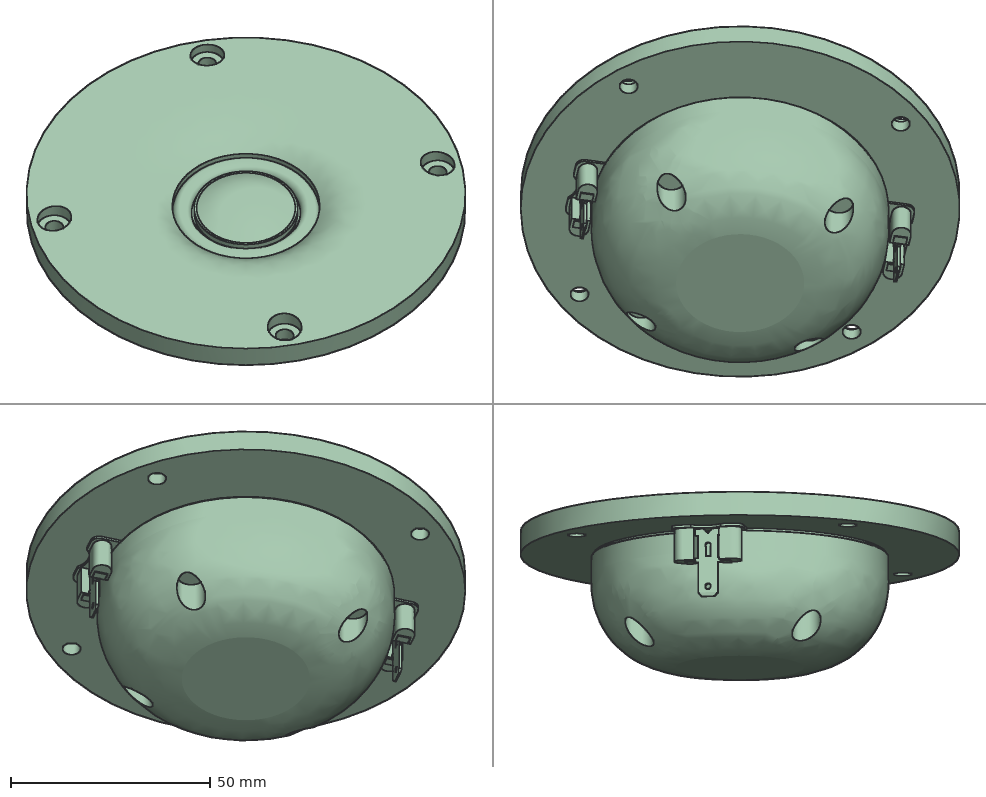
import cadquery as cq
import math

plate_radius = 55.0
rim_height = 5.9
crown_radius = 38.1
crown_height = 8.0
total_height = 36.7

throat_radius = 18.5
throat_height = 1.3
horn_flat_radius = 34.1
horn_bend_radius = 24.8

roll_radius = 2.4
roll_crest_radius = throat_radius - roll_radius
roll_base_height = throat_height - roll_radius

collar_radius = 13.0
dome_radius = 24.8 / 2
dome_base_height = 0.7
dome_rise = 3.7

screw_offset = 34.6
screw_diameter = 4.5
counterbore_diameter = 8.5
counterbore_floor = 3.5

housing_radius = 74.5 / 2
neck_radius = 36.7
neck_height = 0.7
wall_bottom = -5.8
bowl_bottom = crown_height - total_height
bowl_flat_radius = 16.1
bowl_middle = (31.0, -22.7)

bowl_hole_diameter = 7.2
bowl_hole_offset = 21.3
bowl_hole_top = -17.6

terminal_offset = 39.9
block_length = 17.2
block_width = 4.8
block_bottom = -8.8
slot_width = 6.4
pad_outer = 43.1
pad_inner = 35.9
pad_length = 18.2
pad_corner_radius = 2.2
pad_notch_width = 7.6
pad_notch_depth = 1.6
foot_offset = 4.6
foot_length = 2.1
foot_width = 3.3
foot_height = 0.3

blade_thickness = 0.8
tab_width = 5.1
shoulder_bottom = -9.1
blade_bottom = -17.8
tip_length = 1.0
tip_chamfer = 0.9
tip_thickness = 0.3
blade_hole_diameter = 1.4
tip_hole_height = -15.3
eye_height = -4.8
eye_slot_width = 1.2
eye_slot_bottom = -7.6
side_notch_top = -2.3
side_notch_bottom = -8.0
vee_half_width = 1.1
vee_bottom = -1.8


def revolved_body():
    """Faceplate, horn, surround, dome and rear housing as one turned profile."""
    roll_quarter = roll_radius * math.sqrt(0.5)
    roll_inner_radius = roll_crest_radius - roll_radius
    dome_sphere_radius = (dome_radius**2 + dome_rise**2) / (2 * dome_rise)
    dome_top = dome_base_height + dome_rise
    dome_middle_radius = dome_radius / 2
    dome_middle_drop = dome_sphere_radius - math.sqrt(dome_sphere_radius**2 - dome_middle_radius**2)
    horn_control_points = [
        (crown_radius, crown_height),
        (horn_flat_radius, crown_height),
        (horn_bend_radius, crown_height),
        (throat_radius, throat_height),
    ]
    profile = (
        cq.Workplane("XZ")
        .moveTo(0, bowl_bottom)
        .lineTo(bowl_flat_radius, bowl_bottom)
        .threePointArc(bowl_middle, (housing_radius, wall_bottom))
        .lineTo(housing_radius, -neck_height)
        .lineTo(neck_radius, -neck_height)
        .lineTo(neck_radius, 0)
        .lineTo(plate_radius, 0)
        .lineTo(plate_radius, rim_height)
        .lineTo(crown_radius, crown_height)
        .bezier(horn_control_points)
        .lineTo(throat_radius, roll_base_height)
        .threePointArc(
            (roll_crest_radius + roll_quarter, roll_base_height + roll_quarter),
            (roll_crest_radius, throat_height),
        )
        .threePointArc(
            (roll_crest_radius - roll_quarter, roll_base_height + roll_quarter),
            (roll_inner_radius, roll_base_height),
        )
        .lineTo(collar_radius, roll_base_height)
        .lineTo(collar_radius, dome_base_height)
        .lineTo(dome_radius, dome_base_height)
        .threePointArc((dome_middle_radius, dome_top - dome_middle_drop), (0, dome_top))
        .close()
    )
    return profile.revolve(360, (0, 0), (0, 1))


def corner_cylinders(offset, diameter, bottom, top):
    """Four vertical cylinders on the corners of a centered square."""
    return (
        cq.Workplane("XY", origin=(0, 0, bottom))
        .rect(2 * offset, 2 * offset, forConstruction=True)
        .vertices()
        .circle(diameter / 2)
        .extrude(top - bottom)
    )


def mirrored_outline(plane, half_outline):
    """Closed outline from its positive half, mirrored across the vertical axis."""
    other_half = [(-across, height) for across, height in reversed(half_outline)]
    return plane.polyline(half_outline + other_half).close()


def blade():
    """Flat connector blade at the +X terminal, standing parallel to the YZ plane."""
    half_slot = slot_width / 2
    half_tab = tab_width / 2
    tip_start = blade_bottom + tip_length
    front_plane = cq.Workplane("YZ", origin=(terminal_offset, 0, 0))
    edge_plane = cq.Workplane("XZ", origin=(terminal_offset, 0, 0))
    front_outline = [
        (half_slot, 0),
        (half_slot, side_notch_top),
        (half_tab, side_notch_top),
        (half_tab, side_notch_bottom),
        (half_slot, side_notch_bottom),
        (half_slot, shoulder_bottom),
        (half_tab, shoulder_bottom),
        (half_tab, tip_start),
        (half_tab - tip_chamfer, blade_bottom),
    ]
    edge_outline = [
        (blade_thickness / 2, 0),
        (blade_thickness / 2, tip_start),
        (tip_thickness / 2, blade_bottom),
    ]
    body = mirrored_outline(front_plane, front_outline).extrude(blade_thickness, both=True)
    body = body.intersect(mirrored_outline(edge_plane, edge_outline).extrude(slot_width, both=True))
    holes = (
        front_plane.pushPoints([(0, eye_height), (0, tip_hole_height)])
        .circle(blade_hole_diameter / 2)
        .extrude(blade_thickness, both=True)
    )
    eye_slot = (
        front_plane.center(0, (eye_height + eye_slot_bottom) / 2)
        .rect(eye_slot_width, eye_height - eye_slot_bottom)
        .extrude(blade_thickness, both=True)
    )
    vee_outline = [(-vee_half_width, -neck_height), (vee_half_width, -neck_height), (0, vee_bottom)]
    vee = front_plane.polyline(vee_outline).close().extrude(blade_thickness, both=True)
    return body.cut(holes).cut(eye_slot).cut(vee)


def pad():
    """Thin pad under the faceplate with rounded outer corners and a scooped outer edge."""
    notch_radius = ((pad_notch_width / 2) ** 2 + pad_notch_depth**2) / (2 * pad_notch_depth)
    notch_center = pad_outer - pad_notch_depth + notch_radius
    notch = cq.Workplane("XY").center(notch_center, 0).circle(notch_radius).extrude(-neck_height)
    return (
        cq.Workplane("XY")
        .center((pad_outer + pad_inner) / 2, 0)
        .rect(pad_outer - pad_inner, pad_length)
        .extrude(-neck_height)
        .edges("|Z and >X")
        .fillet(pad_corner_radius)
        .cut(notch)
    )


def terminal():
    """Slotted terminal block at +X, with its pad and the blade in the slot."""
    base = cq.Workplane("XY", origin=(terminal_offset, 0, 0))
    block = base.slot2D(block_length, block_width, 90).extrude(block_bottom)
    slot = base.rect(block_width, slot_width).extrude(block_bottom)
    feet = (
        base.workplane(offset=block_bottom)
        .pushPoints([(0, -foot_offset), (0, foot_offset)])
        .rect(foot_width, foot_length)
        .extrude(-foot_height)
    )
    return block.cut(slot).union(feet).union(pad()).union(blade())


result = revolved_body()
result = result.cut(corner_cylinders(screw_offset, screw_diameter, 0, crown_height))
result = result.cut(corner_cylinders(screw_offset, counterbore_diameter, counterbore_floor, crown_height))
result = result.cut(corner_cylinders(bowl_hole_offset, bowl_hole_diameter, bowl_bottom, bowl_hole_top))
result = result.union(terminal()).union(terminal().mirror("YZ"))